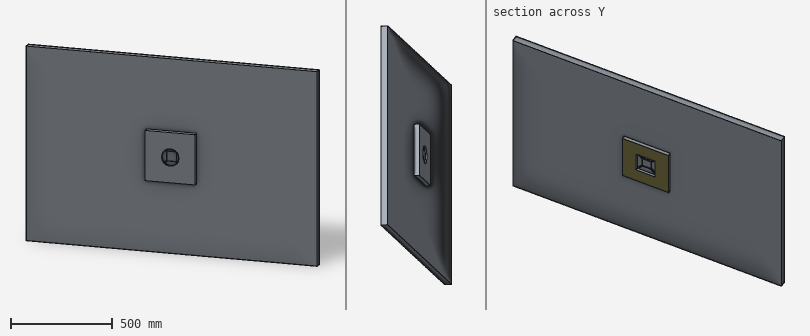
import cadquery as cq
import math

panel_width = 1500.0
panel_height = panel_width * 2 / 3
total_depth = 62.0

housing_size = 258.0
housing_depth = 27.0
front_wall = 9.0
floor_thickness = 5.0
cavity_size = 105.0
bore_diameter = 87.0

inlay_square = 51.0
inlay_arm_width = 6.0

panel_depth = total_depth - housing_depth
cavity_depth = housing_depth - front_wall - floor_thickness
inlay_arm_span = cavity_size * math.sqrt(2) - inlay_arm_width
arm_angles = (45, 135)


def box_on_axis(width, height, start_y, depth):
    """Box centred on the Y axis that runs from start_y toward +Y."""
    return (
        cq.Workplane("XY")
        .box(width, depth, height, centered=(True, False, True))
        .translate((0, start_y, 0))
    )


def make_panel():
    return box_on_axis(panel_width, panel_height, 0, panel_depth)


def make_inlay():
    inlay = box_on_axis(inlay_square, inlay_square, -floor_thickness, floor_thickness)
    for angle in arm_angles:
        arm = box_on_axis(inlay_arm_span, inlay_arm_width, -floor_thickness, floor_thickness)
        inlay = inlay.union(arm.rotate((0, 0, 0), (0, 1, 0), angle))
    return inlay


def make_housing(inlay):
    housing = box_on_axis(housing_size, housing_size, -housing_depth, housing_depth)
    cavity = box_on_axis(cavity_size, cavity_size, front_wall - housing_depth, cavity_depth)
    bore = (
        cq.Workplane("XZ", origin=(0, front_wall - housing_depth, 0))
        .circle(bore_diameter / 2)
        .extrude(front_wall)
    )
    return housing.cut(cavity).cut(bore).cut(inlay)


panel = make_panel()
drain_inlay = make_inlay()
housing = make_housing(drain_inlay)

result = cq.Compound.makeCompound(
    [panel.val(), drain_inlay.solids().val(), housing.solids().val()]
)